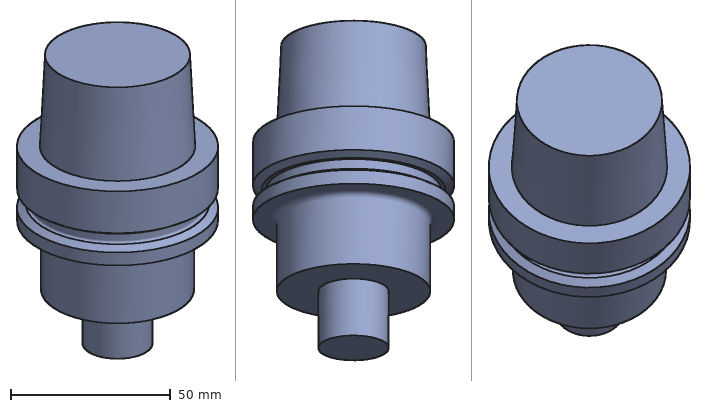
import cadquery as cq

total_height = 101.0
stub_height = 19.0
flange_bottom = 43.0
groove_lower_rim = 47.6
groove_bottom = 49.1
groove_top = 52.7
groove_upper_rim = 54.3
flange_top = 69.0

stub_radius = 11.0
body_radius = 24.0
flange_radius = 63.0 / 2
groove_floor_radius = 55.0 / 2
groove_lip_radius = 28.8
taper_base_radius = 24.3
taper_top_radius = 22.7

neck_blend = 1.8
groove_blend = 0.6


def add_lower_body(outline):
    """Stub, cylindrical body and the concave blend into the flange."""
    return (
        outline.lineTo(stub_radius, 0)
        .lineTo(stub_radius, stub_height)
        .lineTo(body_radius, stub_height)
        .lineTo(body_radius, flange_bottom - neck_blend)
        .radiusArc((body_radius + neck_blend, flange_bottom), neck_blend)
    )


def add_flange(outline):
    """Flange with a groove: sloped rims, flat walls and one rounded floor corner."""
    return (
        outline.lineTo(flange_radius, flange_bottom)
        .lineTo(flange_radius, groove_lower_rim)
        .lineTo(groove_lip_radius, groove_bottom)
        .lineTo(groove_floor_radius + groove_blend, groove_bottom)
        .radiusArc((groove_floor_radius, groove_bottom + groove_blend), groove_blend)
        .lineTo(groove_floor_radius, groove_top)
        .lineTo(groove_lip_radius, groove_top)
        .lineTo(flange_radius, groove_upper_rim)
        .lineTo(flange_radius, flange_top)
    )


def add_taper(outline):
    """Conical shank that narrows toward the top."""
    return (
        outline.lineTo(taper_base_radius, flange_top)
        .lineTo(taper_top_radius, total_height)
        .lineTo(0, total_height)
    )


profile = cq.Workplane("XZ").moveTo(0, 0)
profile = add_lower_body(profile)
profile = add_flange(profile)
profile = add_taper(profile).close()

result = profile.revolve(360, (0, 0, 0), (0, 1, 0))